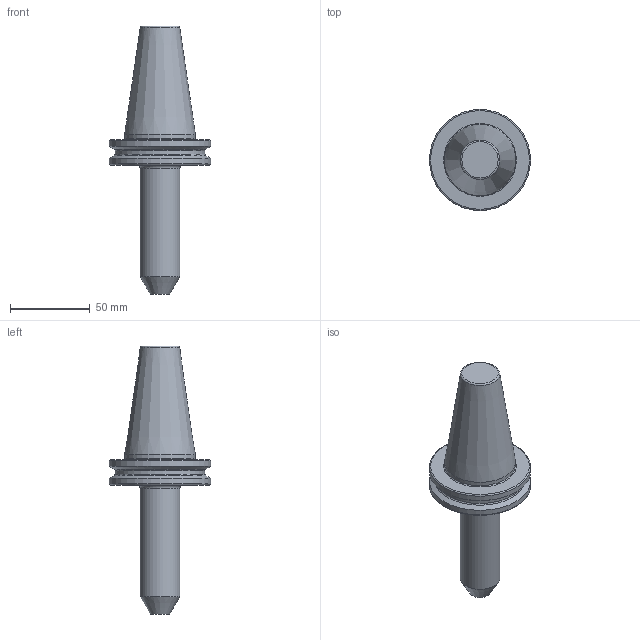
import cadquery as cq
import math


gauge_diameter = 44.45
taper_length = 68.25
taper_ratio = 7 / 24
top_edge_radius = 1.0
taper_root_radius = 0.6

flange_diameter = 63.5
flange_top_z = -3.18
flange_bottom_z = -19.05
flange_edge_radius = 0.75

groove_floor_diameter = 56.25
groove_center_z = -11.1
groove_floor_width = 3.25
groove_corner_radius = 1.0
groove_half_angle = 30.0

arbor_diameter = 25.0
arbor_end_z = -100.0
arbor_root_radius = 2.0
tip_diameter = arbor_diameter / 2
tip_half_angle = 30.0


def groove_profile():
    """Trapezoid that cuts the V-groove when turned about Z."""
    floor_radius = groove_floor_diameter / 2
    rim_radius = flange_diameter / 2
    half_floor = groove_floor_width / 2
    half_mouth = half_floor + (rim_radius - floor_radius) * math.tan(math.radians(groove_half_angle))
    return (
        cq.Workplane("XZ")
        .moveTo(floor_radius, groove_center_z - half_floor)
        .lineTo(rim_radius, groove_center_z - half_mouth)
        .lineTo(rim_radius, groove_center_z + half_mouth)
        .lineTo(floor_radius, groove_center_z + half_floor)
        .close()
    )


def body_profile():
    """Half section of the turned body, with sharp edges."""
    top_radius = (gauge_diameter - taper_length * taper_ratio) / 2
    gauge_radius = gauge_diameter / 2
    rim_radius = flange_diameter / 2
    arbor_radius = arbor_diameter / 2
    tip_radius = tip_diameter / 2
    tip_length = (arbor_radius - tip_radius) / math.tan(math.radians(tip_half_angle))
    return (
        cq.Workplane("XZ")
        .moveTo(0, taper_length)
        .lineTo(top_radius, taper_length)
        .lineTo(gauge_radius, 0)
        .lineTo(gauge_radius, flange_top_z)
        .lineTo(rim_radius, flange_top_z)
        .lineTo(rim_radius, flange_bottom_z)
        .lineTo(arbor_radius, flange_bottom_z)
        .lineTo(arbor_radius, arbor_end_z + tip_length)
        .lineTo(tip_radius, arbor_end_z)
        .lineTo(0, arbor_end_z)
        .close()
    )


def turned(profile):
    """Solid made by turning a half section a full revolution about Z."""
    return profile.revolve(360, (0, 0, 0), (0, 1, 0))


def circles_of(diameter, z):
    """Selector for circular edges of one diameter centred on the axis at height z."""
    margin = 0.01
    reach = diameter / 2 + margin
    thin_slab = cq.selectors.BoxSelector(
        (-reach, -reach, z - margin),
        (reach, reach, z + margin),
        boundingbox=True,
    )
    return cq.selectors.StringSyntaxSelector("%CIRCLE") & thin_slab


def make_groove_cutter():
    """Ring-shaped cutter with its two floor corners rounded."""
    cutter = turned(groove_profile())
    half_floor = groove_floor_width / 2
    for z in (groove_center_z - half_floor, groove_center_z + half_floor):
        cutter = cutter.edges(circles_of(groove_floor_diameter, z)).fillet(groove_corner_radius)
    return cutter


def round_body_edges(body):
    """Round the taper top, both flange roots and both flange rims."""
    body = body.faces(">Z").edges().fillet(top_edge_radius)
    body = body.edges(circles_of(gauge_diameter, flange_top_z)).fillet(taper_root_radius)
    body = body.edges(circles_of(arbor_diameter, flange_bottom_z)).fillet(arbor_root_radius)
    rims = cq.selectors.RadiusNthSelector(-1)
    return body.edges("%CIRCLE").edges(rims).fillet(flange_edge_radius)


body = round_body_edges(turned(body_profile()))
result = body.cut(make_groove_cutter())